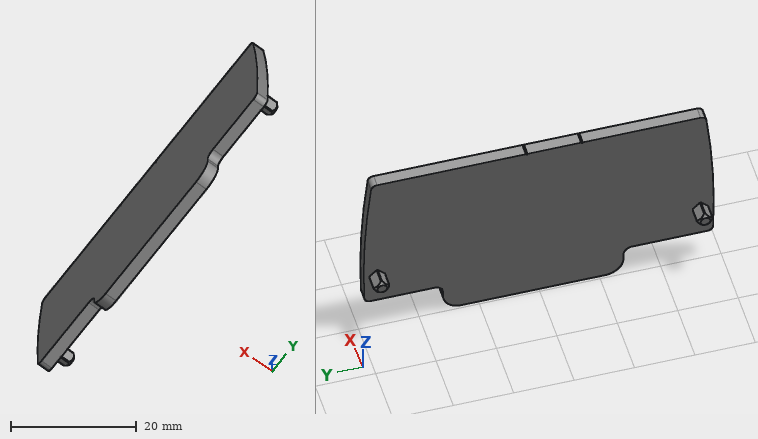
import cadquery as cq
import math

plate_thickness = 2.1
plate_width = 57.95
plate_height = 32.35
top_z = plate_height
ledge_z = 5.4
half_width = plate_width / 2

widest_z = 12.0
bow_radius = 157.0
corner_radius = 1.0

foot_half_width = 14.95
foot_center_y = 0.9
foot_inner_radius = 1.4
foot_outer_radius = 3.05

groove_positions = (2.0, -7.15)
groove_width = 0.3
groove_depth = 0.2

pin_length = 3.0
pin_spacing = 53.5
pin_z = 11.1
pin_side = 2.0
pin_turn = 45
pin_corner_radius = 1.31
pin_tip_radius = 0.8
pin_cone_length = pin_corner_radius - pin_tip_radius


def bow_inset(z):
    """Distance by which the bowed side edge lies inside the full half width."""
    return bow_radius - math.sqrt(bow_radius**2 - (z - widest_z) ** 2)


def round_corners(body, corners, radius):
    """Round the edges along X that pass through the given (y, z) corners."""
    for y, z in corners:
        nearest = cq.selectors.NearestToPointSelector((plate_thickness / 2, y, z))
        body = body.edges("|X").edges(nearest).fillet(radius)
    return body


def make_plate():
    foot_left = foot_center_y - foot_half_width
    foot_right = foot_center_y + foot_half_width
    top_half_width = half_width - bow_inset(top_z)
    ledge_half_width = half_width - bow_inset(ledge_z)
    outline = (
        cq.Workplane("YZ")
        .moveTo(foot_left, 0)
        .lineTo(foot_right, 0)
        .lineTo(foot_right, ledge_z)
        .lineTo(ledge_half_width, ledge_z)
        .threePointArc((half_width, widest_z), (top_half_width, top_z))
        .lineTo(-top_half_width, top_z)
        .threePointArc((-half_width, widest_z), (-ledge_half_width, ledge_z))
        .lineTo(foot_left, ledge_z)
        .close()
    )
    plate = outline.extrude(plate_thickness)

    top_corners = [(-top_half_width, top_z), (top_half_width, top_z)]
    bottom_corners = [(-ledge_half_width, ledge_z), (ledge_half_width, ledge_z)]
    foot_inner_corners = [(foot_left, ledge_z), (foot_right, ledge_z)]
    foot_outer_corners = [(foot_left, 0), (foot_right, 0)]
    plate = round_corners(plate, top_corners, corner_radius)
    plate = round_corners(plate, bottom_corners, corner_radius)
    plate = round_corners(plate, foot_inner_corners, foot_inner_radius)
    return round_corners(plate, foot_outer_corners, foot_outer_radius)


def make_groove(y):
    """V-shaped cutter running through the plate thickness at the top edge."""
    return (
        cq.Workplane("YZ")
        .moveTo(y - groove_width / 2, top_z)
        .lineTo(y, top_z - groove_depth)
        .lineTo(y + groove_width / 2, top_z)
        .close()
        .extrude(plate_thickness)
    )


def make_pin(y):
    bar = (
        cq.Workplane("YZ")
        .rect(pin_side, pin_side)
        .extrude(-pin_length)
        .rotate((0, 0, 0), (1, 0, 0), pin_turn)
    )
    round_stock = (
        cq.Workplane("YZ")
        .circle(pin_corner_radius)
        .extrude(-pin_length)
        .faces("<X")
        .chamfer(pin_cone_length)
    )
    return bar.intersect(round_stock).translate((0, y, pin_z))


result = make_plate()
for groove_y in groove_positions:
    result = result.cut(make_groove(groove_y))
for pin_y in (-pin_spacing / 2, pin_spacing / 2):
    result = result.union(make_pin(pin_y))